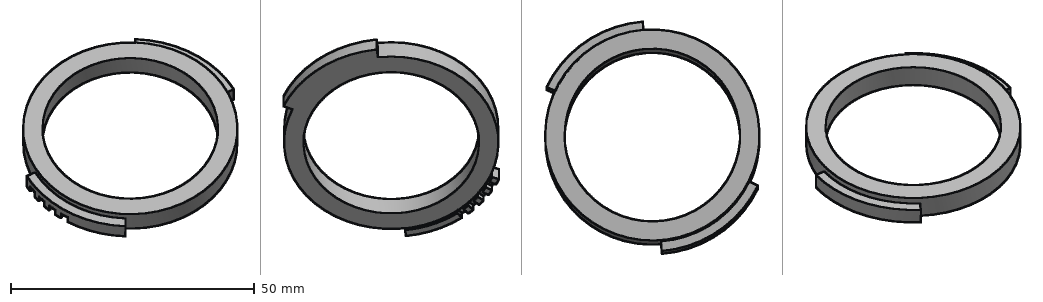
import cadquery as cq

ring_height = 5.0
ring_outer_radius = 44.0 / 2
ring_inner_radius = 36 / 2

lug_radius = 48 / 2
lug_height = 3.5
lug_span = 60
front_direction = -90
back_direction = 90

notch_count = 4
notch_height = 1.55
notch_span = 4
notch_pitch = 7.5
notch_overshoot = 0.5

clearance_width = 0.5


def disc_sector(radius, start_angle, span, height):
    """Pie slice on the XY plane, running counter-clockwise from start_angle in degrees."""
    return (
        cq.Workplane("XZ")
        .rect(radius, height, centered=False)
        .revolve(span, (0, 0, 0), (0, 1, 0))
        .rotate((0, 0, 0), (0, 0, 1), start_angle)
    )


def arc_block(inner_radius, outer_radius, start_angle, span, height):
    """Block between two radii with radial end faces, standing on the XY plane."""
    core = cq.Workplane("XY").circle(inner_radius).extrude(height)
    return disc_sector(outer_radius, start_angle, span, height).cut(core)


def lug(direction):
    """Lug centred on a direction, reaching inwards to the bore so that it fuses with the ring."""
    return arc_block(ring_inner_radius, lug_radius, direction - lug_span / 2, lug_span, lug_height)


result = cq.Workplane("XY").circle(ring_outer_radius).circle(ring_inner_radius).extrude(ring_height)
result = result.union(lug(front_direction)).union(lug(back_direction))

for index in range(notch_count):
    notch_start = front_direction - notch_span - index * notch_pitch
    notch = arc_block(ring_outer_radius, lug_radius + notch_overshoot, notch_start, notch_span, notch_height)
    result = result.cut(notch)

clearance = arc_block(
    ring_outer_radius,
    ring_outer_radius + clearance_width,
    front_direction - lug_span / 2,
    lug_span,
    notch_height,
)
result = result.cut(clearance)